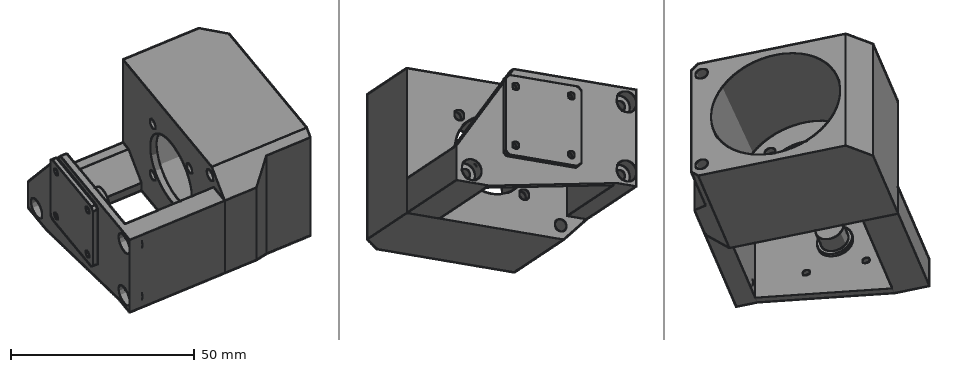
import cadquery as cq


width = 55.0
height = 42.0
overall_depth = 61.4
housing_depth = 30.0
bracket_depth = 30.0
axis_x = 26.0
axis_z = height / 2

front_corner_cut = 7.0
back_corner_cut = 6.0
notch_width = 5.0
notch_start = 10.0
notch_end = 16.0
pilot_diameter = 22.5
front_wall = 2.0
cavity_diameter = 36.8
motor_screw_diameter = 3.0
motor_screw_pitch = 19.85
mount_hole_diameter = 3.5
mount_hole_x = 47.05
mount_hole_inset = 4.0

plate_thickness = 2.0
right_wall = 6.0
right_wall_bottom = front_corner_cut
right_wall_top = height - front_corner_cut
post_size = 10.0
post_top_width = 3.0
plate_top_start = 17.5
screw_diameter = 3.0
screw_head_diameter = 6.0
screw_head_depth = 4.0
right_screw_x = width - screw_head_diameter / 2
right_screw_heights = (11.0, 31.0)
post_screw = (4.65, 3.75)

board_size = 23.0
board_corner_cut = 1.0
board_proud = overall_depth - housing_depth - bracket_depth
board_recess = 0.25
board_hole_diameter = 2.0
board_hole_pitch = 17.0

lens_barrel_diameter = 7.9
lens_barrel_length = 4.9
lens_flange_diameter = 10.0
lens_flange_thickness = 1.0
lens_gap = 0.55

plate_front = -bracket_depth
plate_back = plate_front + plate_thickness


def prism_y(points, y_start, y_end):
    """Extrude an XZ outline from y_start to y_end."""
    plane = cq.Workplane("XZ", origin=(0, y_start, 0))
    return plane.polyline(points).close().extrude(y_start - y_end)


def cylinders_y(centres, diameter, y_start, y_end):
    """Cylinders along Y at the given XZ centres."""
    plane = cq.Workplane("XZ", origin=(0, y_start, 0))
    return plane.pushPoints(centres).circle(diameter / 2).extrude(y_start - y_end)


def square_pattern(pitch):
    """Four XZ points around the motor axis."""
    half = pitch / 2
    return [(axis_x + i * half, axis_z + k * half) for i in (-1, 1) for k in (-1, 1)]


def make_housing():
    plan = [
        (0, 0),
        (width, 0),
        (width, notch_start),
        (width - notch_width, notch_end),
        (width - notch_width, housing_depth),
        (back_corner_cut, housing_depth),
        (0, housing_depth - back_corner_cut),
    ]
    front_outline = [
        (0, 0),
        (width - front_corner_cut, 0),
        (width, front_corner_cut),
        (width, height - front_corner_cut),
        (width - front_corner_cut, height),
        (0, height),
    ]
    block = cq.Workplane("XY").polyline(plan).close().extrude(height)
    block = block.intersect(prism_y(front_outline, 0, housing_depth))

    axis = [(axis_x, axis_z)]
    mount_holes = [(mount_hole_x, mount_hole_inset), (mount_hole_x, height - mount_hole_inset)]
    block = block.cut(cylinders_y(axis, pilot_diameter, 0, housing_depth))
    block = block.cut(cylinders_y(axis, cavity_diameter, front_wall, housing_depth))
    block = block.cut(cylinders_y(square_pattern(motor_screw_pitch), motor_screw_diameter, 0, front_wall))
    return block.cut(cylinders_y(mount_holes, mount_hole_diameter, 0, housing_depth))


def board_blank(y_start, y_end):
    """Square with cut corners, shared by the board and its recess."""
    plane = cq.Workplane("XZ", origin=(axis_x, y_start, axis_z))
    blank = plane.rect(board_size, board_size).extrude(y_start - y_end)
    return blank.edges("|Y").chamfer(board_corner_cut)


def make_bracket():
    plate_outline = [
        (0, 0),
        (post_size, 0),
        (width - right_wall, right_wall_bottom),
        (width, right_wall_bottom),
        (width, right_wall_top),
        (plate_top_start, right_wall_top),
        (0, post_size),
    ]
    wall_outline = [
        (width - right_wall, right_wall_bottom),
        (width, right_wall_bottom),
        (width, right_wall_top),
        (width - right_wall, right_wall_top),
    ]
    post_outline = [
        (0, 0),
        (post_size, 0),
        (post_size, post_top_width),
        (post_top_width, post_size),
        (0, post_size),
    ]
    bracket = prism_y(plate_outline, plate_front, plate_back)
    bracket = bracket.union(prism_y(wall_outline, plate_front, 0))
    bracket = bracket.union(prism_y(post_outline, plate_front, 0))

    screws = [post_screw] + [(right_screw_x, z) for z in right_screw_heights]
    head_bottom = plate_front + screw_head_depth
    bracket = bracket.cut(cylinders_y(screws, screw_diameter, plate_front, 0))
    bracket = bracket.cut(cylinders_y(screws, screw_head_diameter, plate_front, head_bottom))

    board_holes = square_pattern(board_hole_pitch)
    bracket = bracket.cut(board_blank(plate_front, plate_front + board_recess))
    return bracket.cut(cylinders_y(board_holes, board_hole_diameter, plate_front, plate_back))


def make_board():
    board_front = plate_front - board_proud
    board_back = plate_front + board_recess
    holes = cylinders_y(square_pattern(board_hole_pitch), board_hole_diameter, board_front, board_back)
    return board_blank(board_front, board_back).cut(holes)


def make_lens():
    axis = [(axis_x, axis_z)]
    flange_front = plate_back + lens_gap
    flange_back = flange_front + lens_flange_thickness
    barrel_back = flange_back + lens_barrel_length
    flange = cylinders_y(axis, lens_flange_diameter, flange_front, flange_back)
    return flange.union(cylinders_y(axis, lens_barrel_diameter, flange_back, barrel_back))


housing = make_housing()
bracket = make_bracket()
board = make_board()
lens = make_lens()

bodies = [housing, bracket, board, lens]
result = cq.Compound.makeCompound([body.solids().val() for body in bodies])